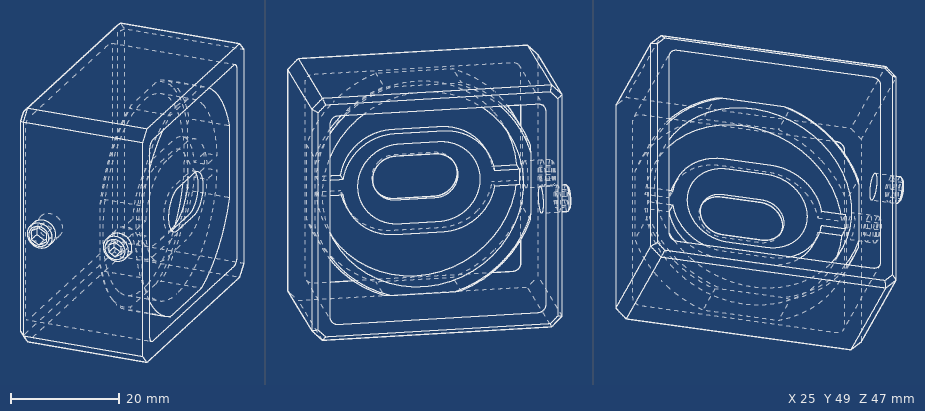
import cadquery as cq

housing_length = 25.0
housing_side = 47.0
wall = 3.25
opening_side = housing_side - 2 * wall
opening_corner_radius = 1.5
long_edge_chamfer = 2.0
front_edge_chamfer = 1.0

insert_front = 15.0
insert_length = 8.5
insert_radius = 21.5
insert_chamfer = 0.4
recess_radius = 18.9
recess_depth = 4.0
island_face = insert_front + recess_depth
pocket_depth = 2.6
island_length = 28.7
island_width = 19.6
strip_width = 3.0

hole_length = 16.0
hole_width = 8.5
flare_size = 3.5
flare_depth = 3.5

screw_diameter = 5.0
screw_projection = 2.0
screw_length = wall + screw_projection
screw_tip_radial = 0.5
screw_tip_axial = 0.4
socket_depth = 2.5
front_screw_x = 5.0
front_socket_flats = 3.0
rear_screw_x = 20.3
rear_socket_flats = 2.5
screw_places = [(front_screw_x, front_socket_flats), (rear_screw_x, rear_socket_flats)]

outer_wall_y = -housing_side / 2
screw_tip_y = outer_wall_y - screw_projection
hexagon_ratio = 2 / 3**0.5


def plane_at(x):
    """YZ sketch plane at the given X, with its normal along +X."""
    return cq.Workplane("YZ", origin=(x, 0, 0))


def screw_plane(x):
    """Sketch plane on a screw's outer end, with its normal into the wall (+Y)."""
    return cq.Workplane(cq.Plane(origin=(x, screw_tip_y, 0), xDir=(0, 0, 1), normal=(0, 1, 0)))


def opening_prism(start, length):
    """Square prism with rounded edges that fills the housing opening."""
    prism = plane_at(start).rect(opening_side, opening_side).extrude(length)
    return prism.edges("|X").fillet(opening_corner_radius)


def make_housing():
    body = plane_at(0).rect(housing_side, housing_side).extrude(housing_length)
    body = body.edges("|X").chamfer(long_edge_chamfer)
    body = body.faces("<X").chamfer(front_edge_chamfer)
    body = body.cut(opening_prism(0, housing_length))
    for x, _ in screw_places:
        body = body.cut(screw_plane(x).circle(screw_diameter / 2).extrude(screw_length))
    return body


def make_insert():
    body = plane_at(insert_front).circle(insert_radius).extrude(insert_length)
    body = body.faces("<X").edges().chamfer(insert_chamfer)
    body = body.intersect(opening_prism(insert_front, insert_length))
    body = body.cut(plane_at(insert_front).circle(recess_radius).extrude(recess_depth))
    body = body.cut(make_pockets())
    return body.cut(make_oval_hole())


def make_pockets():
    """Two crescents in the recess floor, leaving an oval island and two side strips."""
    pockets = plane_at(island_face).circle(recess_radius).extrude(pocket_depth)
    island = plane_at(island_face).slot2D(island_length, island_width).extrude(pocket_depth)
    strips = plane_at(island_face).rect(2 * recess_radius, strip_width).extrude(pocket_depth)
    return pockets.cut(island).cut(strips)


def make_oval_hole():
    hole = plane_at(island_face).slot2D(hole_length, hole_width).extrude(insert_length - recess_depth)
    flare = (
        plane_at(island_face)
        .slot2D(hole_length + 2 * flare_size, hole_width + 2 * flare_size)
        .workplane(offset=flare_depth)
        .slot2D(hole_length, hole_width)
        .loft(ruled=True)
    )
    return hole.union(flare)


def make_screw(x, socket_flats):
    body = screw_plane(x).circle(screw_diameter / 2).extrude(screw_length)
    body = body.faces("<Y").chamfer(screw_tip_axial, screw_tip_radial)
    socket = screw_plane(x).polygon(6, socket_flats * hexagon_ratio).extrude(socket_depth)
    return body.cut(socket)


housing = make_housing()
insert = make_insert()
screws = [make_screw(x, socket_flats) for x, socket_flats in screw_places]

result = cq.Compound.makeCompound([housing.val(), insert.val(), *[screw.val() for screw in screws]])